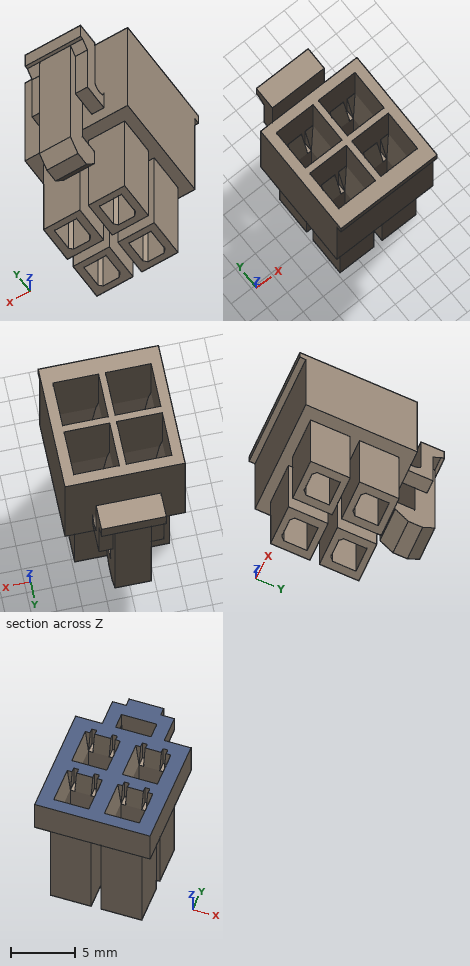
import cadquery as cq


body_width = 9.6
body_depth = 9.56
total_height = 19.6
leg_height = 8.9
body_height = total_height - leg_height
back_face = body_depth / 2
lip_depth = 0.5
lip_height = 1.0

pitch = 4.2
leg_side = 3.4
leg_shift = -0.12
grid_sides = (-pitch / 2, pitch / 2)
contact_positions = [(x, y) for x in grid_sides for y in grid_sides]

pocket_side = 3.65
throat_width = 2.08
throat_depth = 2.3
throat_height = 1.0
throat_top = leg_height + throat_height
funnel_spread = (pocket_side - throat_width) / 2
funnel_rise = 3.53
pocket_floor = throat_top + funnel_rise
ramp_width = 1.35
corner_cut = 0.3

latch_width = 5.17
lever_width = 2.9
head_reach = 3.33
lever_reach = 3.04
arm_reach = 2.35
arm_gap = 1.31
head_top = 17.64
head_bottom = 16.11
arm_bottom = 10.33
notch_radius = arm_gap / 2
notch_center = 12.37
hook_overlap = 0.37
hook_ledge = 5.66
hook_nose_bottom = 4.02
lever_bottom = 2.57
lever_chamfer_top = 3.59
tip_outer = 1.98
tip_inner = 0.75


def box(width, depth, height, x, y, bottom):
    """Box centered on (x, y), standing on the level 'bottom'."""
    return (
        cq.Workplane("XY", origin=(x, y, bottom))
        .rect(width, depth)
        .extrude(height)
    )


def extrude_across(outline, width):
    """Extrude a closed YZ outline symmetrically about X = 0."""
    return outline.close().extrude(width / 2, both=True)


def latch_plane():
    """YZ plane whose first coordinate is the distance behind the body."""
    return cq.Workplane("YZ", origin=(0, back_face, 0))


def make_body():
    body = box(body_width, body_depth, body_height, 0, 0, leg_height)
    lip_y = -(body_depth + lip_depth) / 2
    lip = box(body_width, lip_depth, lip_height, 0, lip_y, total_height - lip_height)
    return body.union(lip)


def make_leg(x, y):
    return box(leg_side, leg_side, leg_height, x, y + leg_shift, 0)


def make_cavity(x, y):
    """Square pocket, funnel and throat, open from the top to the foot of the leg."""
    throat_y = y + leg_shift
    pocket = box(pocket_side, pocket_side, total_height - throat_top, x, y, throat_top)
    upper_pocket = box(pocket_side, pocket_side, total_height - pocket_floor, x, y, pocket_floor)

    funnel = (
        cq.Workplane("XY", origin=(x, throat_y, throat_top))
        .rect(throat_width, throat_depth)
        .workplane(offset=funnel_rise)
        .rect(throat_width + 2 * funnel_spread, throat_depth + 2 * funnel_spread)
        .loft(ruled=True)
        .intersect(pocket)
    )
    throat = box(throat_width, throat_depth, throat_height, x, throat_y, leg_height)
    leg_hole = (
        box(throat_width, throat_depth, leg_height, x, throat_y, 0)
        .edges("|Z and <Y")
        .chamfer(corner_cut)
    )
    cavity = upper_pocket.union(funnel).union(throat).union(leg_hole)

    slot_width = (throat_width - ramp_width) / 2
    slot_offset = (throat_width + ramp_width) / 4
    slot_length = pocket_side / 2
    for side in (-1, 1):
        slot_x = x + side * slot_offset
        slot_y = y + slot_length / 2
        cavity = cavity.union(box(slot_width, slot_length, funnel_rise, slot_x, slot_y, throat_top))
    return cavity


def make_latch():
    arm = extrude_across(
        latch_plane()
        .moveTo(0, arm_bottom)
        .lineTo(arm_reach, arm_bottom)
        .lineTo(arm_reach, head_bottom - (lever_reach - arm_reach))
        .lineTo(lever_reach, head_bottom)
        .lineTo(head_reach, head_bottom)
        .lineTo(head_reach, head_top)
        .lineTo(arm_gap, head_top)
        .lineTo(arm_gap, notch_center)
        .threePointArc((notch_radius, notch_center - notch_radius), (0, notch_center)),
        latch_width,
    )
    bridge_opening = box(
        lever_width, arm_gap, notch_center - arm_bottom, 0, back_face + arm_gap / 2, arm_bottom
    )
    lever = extrude_across(
        latch_plane()
        .moveTo(lever_reach, head_bottom)
        .lineTo(arm_gap, head_bottom)
        .lineTo(arm_gap, hook_ledge)
        .lineTo(-hook_overlap, hook_ledge)
        .lineTo(-hook_overlap, hook_nose_bottom)
        .lineTo(tip_inner, lever_bottom)
        .lineTo(tip_outer, lever_bottom)
        .lineTo(lever_reach, lever_chamfer_top),
        lever_width,
    )
    return arm.cut(bridge_opening).union(lever)


result = make_body().union(make_latch())
for contact_x, contact_y in contact_positions:
    result = result.union(make_leg(contact_x, contact_y))
for contact_x, contact_y in contact_positions:
    result = result.cut(make_cavity(contact_x, contact_y))